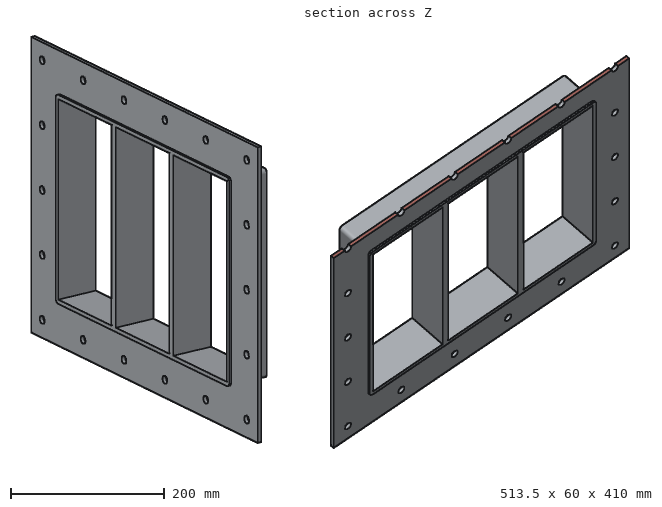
import cadquery as cq

flange_width = 513.5
flange_height = 410.0
flange_thickness = 6.0

flange_margin = 60.0
frame_width = flange_width - 2 * flange_margin
frame_height = flange_height - 2 * flange_margin
frame_depth = 60.0
frame_wall = 6.0
frame_corner_radius = 6.0
front_lip = 3.0

window_count = 3
bar_thickness = 10.0
opening_width = frame_width - 2 * frame_wall
window_width = (opening_width - (window_count - 1) * bar_thickness) / window_count
window_height = frame_height - 2 * frame_wall
window_pitch = window_width + bar_thickness

hole_diameter = 10.5
hole_inset = 25.0
holes_along_width = 6
holes_along_height = 5


def box_from_front(width, height, front, depth):
    """Box centred on X and Z that runs from Y = front towards +Y."""
    return cq.Workplane("XY").box(width, depth, height).translate((0, front + depth / 2, 0))


def make_flange():
    return box_from_front(flange_width, flange_height, front_lip, flange_thickness)


def make_frame_block():
    block = box_from_front(frame_width, frame_height, 0, frame_depth)
    return block.edges("|Y").fillet(frame_corner_radius)


def cut_windows(body):
    for index in range(window_count):
        x = (index - (window_count - 1) / 2) * window_pitch
        window = box_from_front(window_width, window_height, 0, frame_depth)
        body = body.cut(window.translate((x, 0, 0)))
    return body


def hole_centres():
    """Evenly spaced (x, z) points on a rectangle inset from the flange edge."""
    half_width = flange_width / 2 - hole_inset
    half_height = flange_height / 2 - hole_inset
    pitch_x = 2 * half_width / (holes_along_width - 1)
    pitch_z = 2 * half_height / (holes_along_height - 1)
    centres = []
    for column in range(holes_along_width):
        for row in range(holes_along_height):
            on_side = column in (0, holes_along_width - 1)
            on_end = row in (0, holes_along_height - 1)
            if on_side or on_end:
                centres.append((column * pitch_x - half_width, row * pitch_z - half_height))
    return centres


def cut_bolt_holes(body):
    pins = (
        cq.Workplane("XZ", origin=(0, front_lip, 0))
        .pushPoints(hole_centres())
        .circle(hole_diameter / 2)
        .extrude(-flange_thickness)
    )
    return body.cut(pins)


body = make_flange().union(make_frame_block())
body = cut_windows(body)
result = cut_bolt_holes(body)